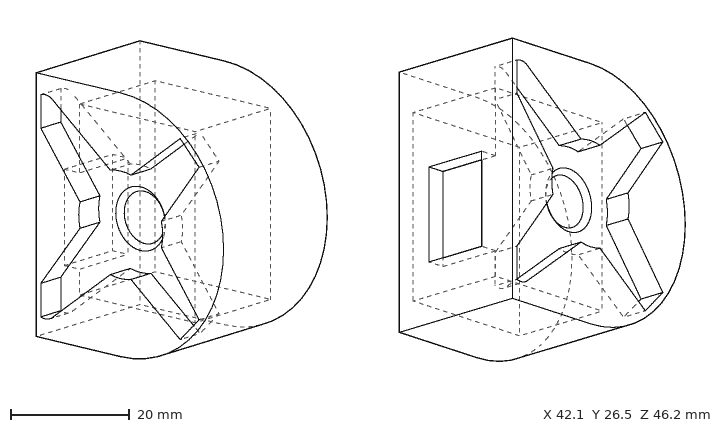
import cadquery as cq
import math

outer_radius = 23.12
flat_length = 19.0
depth = 26.5

pocket_depth = 5.1
hub_radius = 9.45
root_offset = 2.3
arm_tip_near = 13.35
arm_tip_far = 17.6
left_edge = 17.95
left_tip_height = 19.45
left_shoulder_height = 13.6
left_arc_mid = (16.9, 19.65)
left_arc_end = (15.55, 19.25)

recess_top_radius = 5.6
recess_bottom_radius = 4.6
recess_depth = recess_top_radius - recess_bottom_radius

flat_wall = 3.4
floor_wall = 6.4
cavity_front = 7.2
window_width = 12.3
window_height = 16.9
window_bottom = -12.2


def d_shaped_body():
    return (
        cq.Workplane("XZ")
        .moveTo(-flat_length, -outer_radius)
        .lineTo(0, -outer_radius)
        .threePointArc((outer_radius, 0), (0, outer_radius))
        .lineTo(-flat_length, outer_radius)
        .close()
        .extrude(-depth)
    )


def star_pocket():
    root_far = math.sqrt(hub_radius**2 - root_offset**2)
    mid_x, mid_z = left_arc_mid
    end_x, end_z = left_arc_end
    return (
        cq.Workplane("XZ")
        .moveTo(root_far, root_offset)
        .lineTo(arm_tip_far, arm_tip_near)
        .lineTo(arm_tip_near, arm_tip_far)
        .lineTo(root_offset, root_far)
        .threePointArc((0, hub_radius), (-root_offset, root_far))
        .lineTo(-end_x, end_z)
        .threePointArc((-mid_x, mid_z), (-left_edge, left_tip_height))
        .lineTo(-left_edge, left_shoulder_height)
        .lineTo(-root_far, root_offset)
        .threePointArc((-hub_radius, 0), (-root_far, -root_offset))
        .lineTo(-left_edge, -left_shoulder_height)
        .lineTo(-left_edge, -left_tip_height)
        .threePointArc((-mid_x, -mid_z), (-end_x, -end_z))
        .lineTo(-root_offset, -root_far)
        .threePointArc((0, -hub_radius), (root_offset, -root_far))
        .lineTo(arm_tip_near, -arm_tip_far)
        .lineTo(arm_tip_far, -arm_tip_near)
        .lineTo(root_far, -root_offset)
        .threePointArc((hub_radius, 0), (root_far, root_offset))
        .close()
        .extrude(-pocket_depth)
    )


def tapered_recess():
    return cq.Workplane(
        cq.Solid.makeCone(
            recess_top_radius,
            recess_bottom_radius,
            recess_depth,
            pnt=cq.Vector(0, pocket_depth, 0),
            dir=cq.Vector(0, 1, 0),
        )
    )


def rear_cavity():
    """Rectangular cavity whose far corners keep flat_wall of material to the arc."""
    half_height = outer_radius - floor_wall
    far_x = math.sqrt((outer_radius - flat_wall) ** 2 - half_height**2)
    near_x = flat_wall - flat_length
    return cq.Workplane("XY").box(
        far_x - near_x, depth - cavity_front, 2 * half_height, centered=False
    ).translate((near_x, cavity_front, -half_height))


def side_window():
    return cq.Workplane("XY").box(
        flat_wall, window_width, window_height, centered=False
    ).translate((-flat_length, cavity_front, window_bottom))


result = (
    d_shaped_body()
    .cut(star_pocket())
    .cut(tapered_recess())
    .cut(rear_cavity())
    .cut(side_window())
)